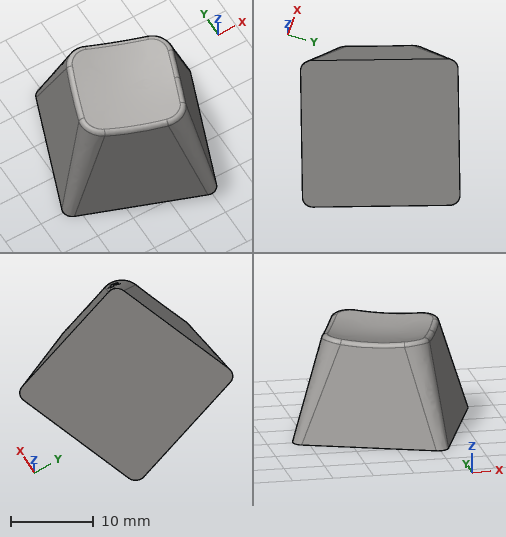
import cadquery as cq
import math

turn_angle = -20.0
overall_width = 23.7
base_corner_radius = 1.3
blank_height = 12.82

top_side = 12.8
top_corner_diameter = 5.52

dish_radius = 31.75
dish_bottom_height = 11.68
rim_fillet_radius = 0.62

turn = math.radians(abs(turn_angle))
corner_center_span = (overall_width - 2 * base_corner_radius) / (math.cos(turn) + math.sin(turn))
base_side = corner_center_span + 2 * base_corner_radius


def rounded_square(side, corner_radius):
    return cq.Sketch().rect(side, side).vertices().fillet(corner_radius)


def tapered_blank():
    lift = cq.Location(cq.Vector(0, 0, blank_height))
    top_outline = rounded_square(top_side, top_corner_diameter / 2).moved(lift)
    return (
        cq.Workplane("XY")
        .placeSketch(
            rounded_square(base_side, base_corner_radius),
            top_outline,
        )
        .loft(ruled=True)
    )


def dish_cutter():
    center_height = dish_bottom_height + dish_radius
    return cq.Workplane("XY").sphere(dish_radius).translate((0, 0, center_height))


def dished_cap():
    cap = tapered_blank().cut(dish_cutter())
    dish_center = (0, 0, dish_bottom_height)
    dish_face = cap.faces(cq.selectors.NearestToPointSelector(dish_center))
    return dish_face.edges().fillet(rim_fillet_radius)


result = dished_cap().rotate((0, 0, 0), (0, 0, 1), turn_angle)